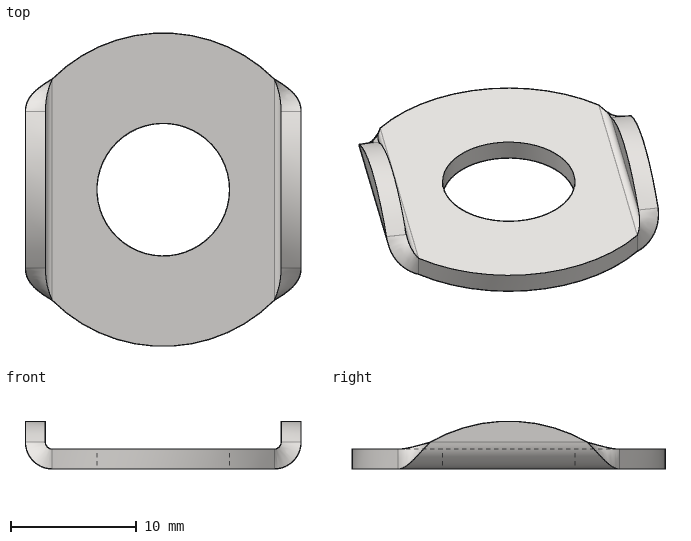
import cadquery as cq
import math

disc_diameter = 24.9
hole_diameter = 10.5
sheet_thickness = 1.6
width_over_flanges = 21.9
overall_height = 3.8
outer_bend_radius = 2.15

disc_radius = disc_diameter / 2
inner_bend_radius = outer_bend_radius - sheet_thickness
flange_outer_x = width_over_flanges / 2
flange_inner_x = flange_outer_x - sheet_thickness
bend_line_x = flange_outer_x - outer_bend_radius
flange_height = overall_height - outer_bend_radius
bend_allowance = disc_radius - bend_line_x - flange_height


def half_chord(distance):
    """Half-length of the blank's chord at a distance from its centre."""
    return math.sqrt(disc_radius**2 - distance**2)


bend_start_y = half_chord(bend_line_x)
bend_end_y = half_chord(bend_line_x + bend_allowance)


def bend_point(radius, bend_fraction):
    """Point on the curled sheet edge, measured from the bend axis."""
    angle = bend_fraction * math.pi / 2
    return cq.Vector(
        bend_line_x + radius * math.sin(angle),
        half_chord(bend_line_x + bend_fraction * bend_allowance),
        outer_bend_radius - radius * math.cos(angle),
    )


def bend_end_cutter():
    """Waste beyond the +Y end of the bend; its ruled face stays square to the sheet."""
    curve_steps = 8
    radial_margin = 0.12
    edges = []
    for radius in (inner_bend_radius - radial_margin, outer_bend_radius + radial_margin):
        points = [bend_point(radius, step / curve_steps) for step in range(curve_steps + 1)]
        edges.append(cq.Edge.makeSpline(points))
    ruled_face = cq.Face.makeRuledSurface(*edges)
    return cq.Workplane(cq.Solid.extrudeLinear(ruled_face, cq.Vector(0, disc_radius, 0)))


def make_bend():
    """Quarter-round bend on the +X side with curled ends."""
    diagonal = math.sqrt(0.5)
    bend = (
        cq.Workplane("XZ")
        .moveTo(bend_line_x, 0)
        .threePointArc(
            (bend_line_x + outer_bend_radius * diagonal, outer_bend_radius * (1 - diagonal)),
            (flange_outer_x, outer_bend_radius),
        )
        .lineTo(flange_inner_x, outer_bend_radius)
        .threePointArc(
            (bend_line_x + inner_bend_radius * diagonal, outer_bend_radius - inner_bend_radius * diagonal),
            (bend_line_x, sheet_thickness),
        )
        .close()
        .extrude(bend_start_y, both=True)
    )
    cutter = bend_end_cutter()
    return bend.cut(cutter).cut(cutter.mirror("XZ"))


def make_flange():
    """Upright circular segment above the +X bend."""
    return (
        cq.Workplane("YZ", origin=(flange_inner_x, 0, 0))
        .moveTo(-bend_end_y, outer_bend_radius)
        .threePointArc((0, overall_height), (bend_end_y, outer_bend_radius))
        .close()
        .extrude(sheet_thickness)
    )


def make_base():
    """Flat washer with two straight sides at the bend lines."""
    return (
        cq.Workplane("XY")
        .moveTo(-bend_line_x, bend_start_y)
        .threePointArc((0, disc_radius), (bend_line_x, bend_start_y))
        .lineTo(bend_line_x, -bend_start_y)
        .threePointArc((0, -disc_radius), (-bend_line_x, -bend_start_y))
        .close()
        .circle(hole_diameter / 2)
        .extrude(sheet_thickness)
    )


folded_side = make_bend().union(make_flange())
result = make_base().union(folded_side).union(folded_side.mirror("YZ"))